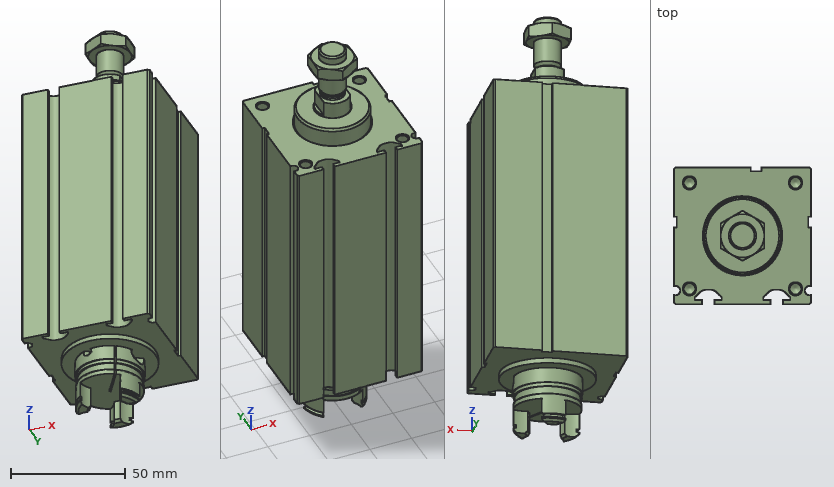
import cadquery as cq
import math

HUB_BOTTOM = 10.4
FLANGE_BOTTOM = 24.5
BARREL_BOTTOM = 26.9
BARREL_TOP = 152.0
COLLAR_TOP = 160.5
FLATS_BOTTOM = 161.0
SHANK_TOP = 168.1
NECK_TOP = 169.6
NUT_BOTTOM = 182.0
NUT_HEIGHT = 6.0
STUD_TOP = 191.9

BARREL_WIDTH = 60.0
CORNER_CHAMFER = 0.8
SEAT_CHAMFER = 0.67

T_SLOT_OFFSET = 15.0
T_SLOT_MOUTH = 5.4
T_SLOT_LIP = 2.0
T_SLOT_WIDTH = 11.7
T_SLOT_SIDE_TOP = 3.0
T_SLOT_ROOF_WIDTH = 5.0
T_SLOT_DEPTH = 6.3
T_SLOT_ROOF_FILLET = 3.8

KEY_GROOVE_OFFSET = 6.0
KEY_GROOVE_WIDTH = 4.6
SIDE_GROOVE_DEPTH = 1.2
BACK_GROOVE_DEPTH = 1.7

ROUND_GROOVE_DIAMETER = 4.0
ROUND_GROOVE_DEPTH = 2.7
ROUND_GROOVE_Y = -24.0

SCREW_HOLE_SPACING = 46.5
SCREW_HOLE_DIAMETER = 5.0
SCREW_HOLE_MOUTH = 6.0
SCREW_HOLE_DEPTH = 19.2
DRILL_POINT_ANGLE = 118.0

COLLAR_DIAMETER = 33.5
COLLAR_INSERTION = 9.5
COLLAR_BOTTOM = BARREL_TOP - COLLAR_INSERTION
COLLAR_CHAMFER = 0.8
COLLAR_CHAMFER_HEIGHT = 1.2
COLLAR_BORE_CHAMFER = 0.4

ROD_DIAMETER = 16.1
ROD_FLATS = 12.9
NECK_DIAMETER = 10.0
NECK_FLARE = 0.5
STUD_DIAMETER = 12.0
STUD_END_CHAMFER = 0.8
STUD_FOOT_CHAMFER = 1.2
STUD_FOOT_CHAMFER_HEIGHT = 1.5

NUT_FLATS = 19.0
NUT_CHAMFER_ANGLE = 20.0

FLANGE_RADIUS = 21.3

HUB_RADIUS = 15.4
HUB_END_RADIUS = 15.0
HUB_STEP = 17.8
GROOVE_RADIUS = 14.4
GROOVE_TOP = 16.1
GROOVE_BOTTOM = 12.7
SLIT_DIRECTION = -60.0
SLIT_WIDTH = 0.8
CLAMP_HEIGHT = 23.5
CLAMP_OFFSET = 10.0
CLAMP_HOLE_DIAMETER = 3.3
CLAMP_COUNTERBORE_DIAMETER = 7.0
CLAMP_COUNTERBORE_FLOOR = 3.8

CLAW_COUNT = 3
CLAW_DIRECTION = 90.0
CLAW_INNER_RADIUS = 8.8
CLAW_INSET = 1.2
CLAW_CHAMFER_HEIGHT = 1.2
CLAW_GROOVE_BOTTOM = 1.7
CLAW_GROOVE_TAPER = 0.5
CLAW_GROOVE_TOP = 3.5
SCALLOP_RADIUS = 9.4
SCALLOP_OFFSET = 12.0


def cylinder(radius, bottom, top):
    return cq.Workplane("XY").workplane(offset=bottom).circle(radius).extrude(top - bottom)


def revolved(profile):
    """Solid of revolution about Z from (radius, height) points."""
    return cq.Workplane("XZ").polyline(profile).close().revolve(360, (0, 0), (0, 1))


def barrel_prism(outline):
    """Prism over the full barrel length from a drawn and closed XY outline."""
    return outline.extrude(BARREL_TOP - BARREL_BOTTOM)


def barrel_plane():
    return cq.Workplane("XY").workplane(offset=BARREL_BOTTOM)


def t_slot(center_x):
    front = -BARREL_WIDTH / 2
    half_mouth = T_SLOT_MOUTH / 2
    half_width = T_SLOT_WIDTH / 2
    half_roof = T_SLOT_ROOF_WIDTH / 2
    right_half = [
        (half_mouth, 0),
        (half_mouth, T_SLOT_LIP),
        (half_width, T_SLOT_LIP),
        (half_width, T_SLOT_SIDE_TOP),
        (half_roof, T_SLOT_DEPTH),
    ]
    left_half = [(-x, depth) for x, depth in reversed(right_half)]
    points = [(center_x + x, front + depth) for x, depth in right_half + left_half]
    slot = barrel_prism(barrel_plane().polyline(points).close())
    return slot.faces(">Y").edges("|Z").fillet(T_SLOT_ROOF_FILLET)


def key_groove(center_x, center_y, size_x, size_y):
    return barrel_prism(barrel_plane().center(center_x, center_y).rect(size_x, size_y))


def round_groove(side):
    center_x = side * (BARREL_WIDTH / 2 - ROUND_GROOVE_DEPTH + ROUND_GROOVE_DIAMETER / 2)
    return barrel_prism(barrel_plane().center(center_x, ROUND_GROOVE_Y).circle(ROUND_GROOVE_DIAMETER / 2))


def screw_hole():
    """Chamfered blind hole with a conical drill point, on the Z axis."""
    radius = SCREW_HOLE_DIAMETER / 2
    mouth = SCREW_HOLE_MOUTH / 2
    floor = BARREL_TOP - SCREW_HOLE_DEPTH
    point_depth = radius / math.tan(math.radians(DRILL_POINT_ANGLE / 2))
    return revolved([
        (0, BARREL_TOP),
        (mouth, BARREL_TOP),
        (radius, BARREL_TOP - (mouth - radius)),
        (radius, floor),
        (0, floor - point_depth),
    ])


def make_barrel():
    half = BARREL_WIDTH / 2
    barrel = barrel_prism(barrel_plane().rect(BARREL_WIDTH, BARREL_WIDTH))
    barrel = barrel.edges("|Z").chamfer(CORNER_CHAMFER)
    for side in (-1, 1):
        barrel = barrel.cut(t_slot(side * T_SLOT_OFFSET))
        barrel = barrel.cut(key_groove(side * half, KEY_GROOVE_OFFSET, 2 * SIDE_GROOVE_DEPTH, KEY_GROOVE_WIDTH))
        barrel = barrel.cut(round_groove(side))
    barrel = barrel.cut(key_groove(KEY_GROOVE_OFFSET, half, KEY_GROOVE_WIDTH, 2 * BACK_GROOVE_DEPTH))
    for x in (-SCREW_HOLE_SPACING / 2, SCREW_HOLE_SPACING / 2):
        for y in (-SCREW_HOLE_SPACING / 2, SCREW_HOLE_SPACING / 2):
            barrel = barrel.cut(screw_hole().translate((x, y, 0)))
    seat = cylinder(COLLAR_DIAMETER / 2, COLLAR_BOTTOM, BARREL_TOP)
    seat_mouth = revolved([
        (0, BARREL_TOP),
        (COLLAR_DIAMETER / 2 + SEAT_CHAMFER, BARREL_TOP),
        (COLLAR_DIAMETER / 2, BARREL_TOP - SEAT_CHAMFER),
        (0, BARREL_TOP - SEAT_CHAMFER),
    ])
    return barrel.cut(seat).cut(seat_mouth)


def make_collar():
    bore = ROD_DIAMETER / 2
    outside = COLLAR_DIAMETER / 2
    return revolved([
        (bore, COLLAR_BOTTOM),
        (outside, COLLAR_BOTTOM),
        (outside, COLLAR_TOP - COLLAR_CHAMFER_HEIGHT),
        (outside - COLLAR_CHAMFER, COLLAR_TOP),
        (bore + COLLAR_BORE_CHAMFER, COLLAR_TOP),
        (bore, COLLAR_TOP - COLLAR_BORE_CHAMFER),
    ])


def make_rod():
    neck_radius = NECK_DIAMETER / 2
    shank = cylinder(ROD_DIAMETER / 2, COLLAR_BOTTOM, FLATS_BOTTOM)
    flats = cylinder(ROD_DIAMETER / 2, FLATS_BOTTOM, SHANK_TOP).intersect(
        cq.Workplane("XY").workplane(offset=FLATS_BOTTOM)
        .rect(ROD_FLATS, ROD_DIAMETER).extrude(SHANK_TOP - FLATS_BOTTOM)
    )
    neck = revolved([
        (0, SHANK_TOP),
        (neck_radius + NECK_FLARE, SHANK_TOP),
        (neck_radius, SHANK_TOP + NECK_FLARE),
        (neck_radius, NECK_TOP),
        (0, NECK_TOP),
    ])
    stud = cylinder(STUD_DIAMETER / 2, NECK_TOP, STUD_TOP)
    stud = stud.faces(">Z").chamfer(STUD_END_CHAMFER).faces("<Z").chamfer(STUD_FOOT_CHAMFER_HEIGHT, STUD_FOOT_CHAMFER)
    return shank.union(flats).union(neck).union(stud)


def make_nut():
    """Hexagon nut with two flats facing -X and +X and its corners turned down at both ends."""
    corner_radius = NUT_FLATS / math.sqrt(3)
    face_radius = NUT_FLATS / 2
    drop = (corner_radius - face_radius) * math.tan(math.radians(NUT_CHAMFER_ANGLE))
    top = NUT_BOTTOM + NUT_HEIGHT
    hexagon = (
        cq.Workplane("XY").workplane(offset=NUT_BOTTOM)
        .transformed(rotate=(0, 0, 30))
        .polygon(6, 2 * corner_radius).extrude(NUT_HEIGHT)
    )
    turned = revolved([
        (0, NUT_BOTTOM),
        (face_radius, NUT_BOTTOM),
        (corner_radius, NUT_BOTTOM + drop),
        (corner_radius, top - drop),
        (face_radius, top),
        (0, top),
    ])
    return hexagon.intersect(turned).cut(cylinder(STUD_DIAMETER / 2, NUT_BOTTOM, top))


def make_flange():
    return cylinder(FLANGE_RADIUS, FLANGE_BOTTOM, BARREL_BOTTOM)


def hub_body():
    return revolved([
        (0, HUB_BOTTOM),
        (HUB_END_RADIUS, HUB_BOTTOM),
        (HUB_END_RADIUS, GROOVE_BOTTOM),
        (GROOVE_RADIUS, GROOVE_BOTTOM),
        (GROOVE_RADIUS, GROOVE_TOP),
        (HUB_END_RADIUS, GROOVE_TOP),
        (HUB_END_RADIUS, HUB_STEP),
        (HUB_RADIUS, HUB_STEP),
        (HUB_RADIUS, FLANGE_BOTTOM),
        (0, FLANGE_BOTTOM),
    ])


def clamp_cuts():
    """Slit along +X and the counterbored screw hole across it along Y, turned to the slit direction."""
    slit = (
        cq.Workplane("XY").workplane(offset=HUB_BOTTOM)
        .center(HUB_RADIUS / 2, 0).rect(HUB_RADIUS, SLIT_WIDTH)
        .extrude(FLANGE_BOTTOM - HUB_BOTTOM)
    )
    axis_start = cq.Vector(CLAMP_OFFSET, -HUB_RADIUS, CLAMP_HEIGHT)
    floor_center = cq.Vector(CLAMP_OFFSET, CLAMP_COUNTERBORE_FLOOR, CLAMP_HEIGHT)
    along_y = cq.Vector(0, 1, 0)
    hole = cq.Solid.makeCylinder(CLAMP_HOLE_DIAMETER / 2, 2 * HUB_RADIUS, axis_start, along_y)
    counterbore = cq.Solid.makeCylinder(CLAMP_COUNTERBORE_DIAMETER / 2, HUB_RADIUS, floor_center, along_y)
    return slit.union(hole).union(counterbore).rotate((0, 0, 0), (0, 0, 1), SLIT_DIRECTION)


def claws():
    """Claws left standing between equally spaced round scallops in a grooved ring."""
    pitch = 360 / CLAW_COUNT
    groove_radius = HUB_END_RADIUS - CLAW_INSET
    ring = revolved([
        (CLAW_INNER_RADIUS + CLAW_INSET, 0),
        (groove_radius, 0),
        (HUB_END_RADIUS, CLAW_CHAMFER_HEIGHT),
        (HUB_END_RADIUS, CLAW_GROOVE_BOTTOM),
        (groove_radius, CLAW_GROOVE_BOTTOM + CLAW_GROOVE_TAPER),
        (groove_radius, CLAW_GROOVE_TOP),
        (HUB_END_RADIUS, CLAW_GROOVE_TOP),
        (HUB_END_RADIUS, HUB_BOTTOM),
        (CLAW_INNER_RADIUS, HUB_BOTTOM),
        (CLAW_INNER_RADIUS, CLAW_CHAMFER_HEIGHT),
    ])
    for index in range(CLAW_COUNT):
        direction = math.radians(CLAW_DIRECTION + (index + 0.5) * pitch)
        center = (SCALLOP_OFFSET * math.cos(direction), SCALLOP_OFFSET * math.sin(direction), 0)
        ring = ring.cut(cylinder(SCALLOP_RADIUS, 0, HUB_BOTTOM).translate(center))
    return ring


def make_hub():
    return hub_body().cut(clamp_cuts()).union(claws())


barrel = make_barrel()
collar = make_collar()
rod = make_rod()
nut = make_nut()
flange = make_flange()
hub = make_hub()

result = cq.Compound.makeCompound([
    barrel.val(),
    collar.val(),
    rod.val(),
    nut.val(),
    flange.val(),
    hub.val(),
])